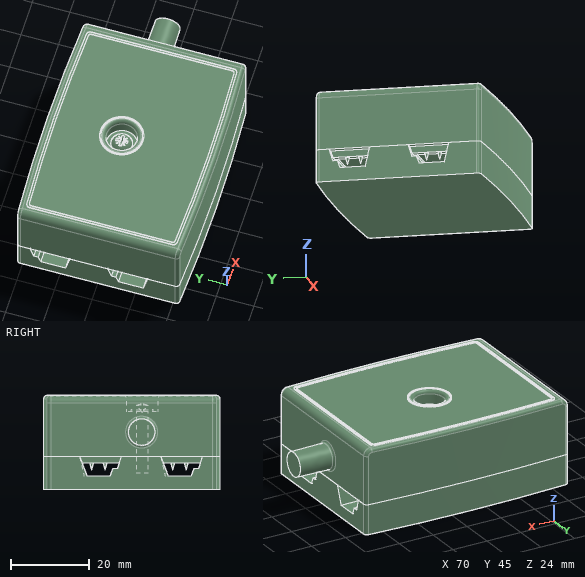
import cadquery as cq
import math

overall_length = 70.0
box_length = 60.0
box_width = 44.95
box_height = 24.0
side_bulge = 1.0
split_height = 8.5
corner_radius = 1.0
end_edge_radius = 1.95

label_thickness = 0.2
recess_end_margin = 2.8
recess_side_margin = 1.75
recess_corner_radius = 1.0
label_gap = 0.6
label_corner_radius = 0.6
label_hole_diameter = 11.3
screw_rim_diameter = 10.65

screw_y = 2.65
well_diameter = 8.0
well_edge_radius = 1.0
well_floor_height = 19.8
head_diameter = 5.6
head_rim_thickness = 0.4
head_dome_height = 1.55
shank_diameter = 3.0
shank_bottom = 4.2
drive_diameter = 3.85
drive_depth = 2.1
drive_arm_width = 0.7
drive_tick_width = 0.15
drive_tick_angle = 45

spout_y = 2.5
spout_height = 14.6
spout_root_diameter = 7.0
spout_tip_diameter = 6.7
spout_fillet = 0.55

channel_top_edges = [18.0, -2.65]
channel_floor_height = 3.5
channel_step_height = 5.4
channel_step_start = 1.0
channel_step_end = 2.2
channel_floor_start = 2.9
channel_floor_end_near = 9.45
channel_floor_end_far = 8.7
channel_width = 10.6

tongue_inset = 2.0
tongue_thickness = 2.0
tongue_bottom = 6.7
peg_offsets = [4.1, 7.55]
peg_diameter = 1.0
peg_length = 1.75

half_length = box_length / 2
half_width = box_width / 2


def arc_middle_offset(radius):
    """Distance from either tangent line of a quarter round to the middle of its arc."""
    return radius * (1 - math.sqrt(0.5))


def bowed_outline(workplane, end_margin, side_margin):
    """Closed outline with flat ends and bowed sides, inset from the box outline."""
    end_x = half_length - end_margin
    side_y = half_width - side_margin
    corner_y = side_y - side_bulge * (end_x / half_length) ** 2
    return (
        workplane.moveTo(-end_x, -corner_y)
        .threePointArc((0, -side_y), (end_x, -corner_y))
        .lineTo(end_x, corner_y)
        .threePointArc((0, side_y), (-end_x, corner_y))
        .close()
    )


def cylinder(diameter, bottom, top):
    """Upright cylinder on the screw axis."""
    return (
        cq.Workplane("XY", origin=(0, screw_y, bottom))
        .circle(diameter / 2)
        .extrude(top - bottom)
    )


def channel(top_edge):
    """Stepped, slanted channel whose -Y wall leans further in at the +X end."""
    def section(workplane, floor_end):
        points = [
            (0, split_height),
            (channel_step_start, channel_step_height),
            (channel_step_end, channel_step_height),
            (channel_floor_start, channel_floor_height),
            (floor_end, channel_floor_height),
            (channel_width, split_height),
        ]
        return workplane.polyline([(top_edge - across, z) for across, z in points]).close()

    near_end = section(cq.Workplane("YZ", origin=(-half_length, 0, 0)), channel_floor_end_near)
    return section(near_end.workplane(offset=box_length), channel_floor_end_far).loft(ruled=True, combine=True)


def enclosure():
    """Rounded outer block, before it is parted into base and lid."""
    block = bowed_outline(cq.Workplane("XY"), 0, 0).extrude(box_height)
    block = block.faces("<X or >X").edges(">Z").fillet(end_edge_radius)
    return block.edges("|Z").fillet(corner_radius)


def label_plate(end_margin, side_margin, plate_corner_radius, hole_diameter):
    """Plate under the top plane of the lid, with a round hole on the screw axis."""
    bottom = box_height - label_thickness
    plate = bowed_outline(cq.Workplane("XY", origin=(0, 0, bottom)), end_margin, side_margin)
    plate = plate.extrude(label_thickness).edges("|Z").fillet(plate_corner_radius)
    return plate.cut(cylinder(hole_diameter, bottom, box_height))


def screw_well():
    """Well for the screw head, with a rounded mouth."""
    mouth_radius = well_diameter / 2 + well_edge_radius
    fillet_start = box_height - well_edge_radius
    bend = arc_middle_offset(well_edge_radius)
    return (
        cq.Workplane("XZ", origin=(0, screw_y, 0))
        .moveTo(0, well_floor_height)
        .lineTo(well_diameter / 2, well_floor_height)
        .lineTo(well_diameter / 2, fillet_start)
        .threePointArc((well_diameter / 2 + bend, box_height - bend), (mouth_radius, box_height))
        .lineTo(0, box_height)
        .close()
        .revolve(360, (0, 0, 0), (0, 1, 0))
    )


def spout():
    """Slightly tapered round spout with a fillet at its root."""
    spout_length = overall_length - box_length
    root_radius = spout_root_diameter / 2
    bend = arc_middle_offset(spout_fillet)
    return (
        cq.Workplane("XY", origin=(half_length, spout_y, spout_height))
        .lineTo(0, root_radius + spout_fillet)
        .threePointArc((bend, root_radius + bend), (spout_fillet, root_radius))
        .lineTo(spout_length, spout_tip_diameter / 2)
        .lineTo(spout_length, 0)
        .close()
        .revolve(360, (0, 0, 0), (1, 0, 0))
    )


def tongue(top_edge):
    """Short wall that fills the upper part of a channel and carries two pointed pegs."""
    start_x = tongue_inset - half_length
    wall = channel(top_edge).intersect(
        cq.Workplane("XY", origin=(start_x + tongue_thickness / 2, 0, tongue_bottom))
        .rect(tongue_thickness, box_width)
        .extrude(box_height)
    )
    for offset in peg_offsets:
        peg_place = cq.Vector(start_x + tongue_thickness / 2, top_edge - offset, tongue_bottom)
        peg = cq.Solid.makeCone(peg_diameter / 2, 0, peg_length, peg_place, cq.Vector(0, 0, -1))
        wall = wall.union(cq.Workplane(peg))
    return wall


def lower_block():
    """Oversized block filling the space below the split plane."""
    return cq.Workplane("XY").rect(2 * box_length, 2 * box_width).extrude(split_height)


def make_base():
    """Solid lower part with the two channels and a hole for the screw shank."""
    base = enclosure().intersect(lower_block())
    for top_edge in channel_top_edges:
        base = base.cut(channel(top_edge))
    return base.cut(cylinder(shank_diameter, shank_bottom, split_height))


def make_lid():
    """Upper part with label recess, screw well, spout and channel tongues."""
    lid = enclosure().cut(lower_block())
    lid = lid.cut(label_plate(recess_end_margin, recess_side_margin, recess_corner_radius, screw_rim_diameter))
    lid = lid.cut(screw_well())
    lid = lid.cut(cylinder(shank_diameter, split_height, well_floor_height))
    lid = lid.union(spout())
    for top_edge in channel_top_edges:
        lid = lid.union(tongue(top_edge))
    return lid


def make_label():
    """Label plate with a gap to the recess wall and around the screw rim."""
    return label_plate(
        recess_end_margin + label_gap,
        recess_side_margin + label_gap,
        label_corner_radius,
        label_hole_diameter,
    )


def screw_drive(head_top):
    """Cross with fine diagonal ticks, all ending on one downward cone."""
    cone = cq.Workplane(
        cq.Solid.makeCone(
            0,
            drive_diameter / 2,
            drive_depth,
            cq.Vector(0, screw_y, head_top - drive_depth),
            cq.Vector(0, 0, 1),
        )
    )
    slots = cq.Workplane("XY")
    for index in range(4):
        is_arm = index % 2 == 0
        width = drive_arm_width if is_arm else drive_tick_width
        slot = (
            cq.Workplane("XY")
            .box(2 * drive_diameter, width, 2 * drive_depth)
            .rotate((0, 0, 0), (0, 0, 1), drive_tick_angle * index)
            .translate((0, screw_y, head_top - drive_depth))
        )
        slots = slots.add(slot)
    return slots.combine().intersect(cone)


def make_screw():
    """Domed head on the floor of the well and a plain shank down into the base."""
    rim_top = well_floor_height + head_rim_thickness
    head_top = rim_top + head_dome_height
    head_radius = head_diameter / 2
    dome_radius = (head_radius**2 + head_dome_height**2) / (2 * head_dome_height)
    half_angle = math.asin(head_radius / dome_radius) / 2
    dome_middle = (
        dome_radius * math.sin(half_angle),
        head_top - dome_radius * (1 - math.cos(half_angle)),
    )
    screw = (
        cq.Workplane("XZ", origin=(0, screw_y, 0))
        .moveTo(0, shank_bottom)
        .lineTo(shank_diameter / 2, shank_bottom)
        .lineTo(shank_diameter / 2, well_floor_height)
        .lineTo(head_radius, well_floor_height)
        .lineTo(head_radius, rim_top)
        .threePointArc(dome_middle, (0, head_top))
        .close()
        .revolve(360, (0, 0, 0), (0, 1, 0))
    )
    return screw.cut(screw_drive(head_top))


base = make_base()
lid = make_lid()
label = make_label()
screw = make_screw()

result = cq.Compound.makeCompound([base.val(), lid.val(), label.val(), screw.val()])